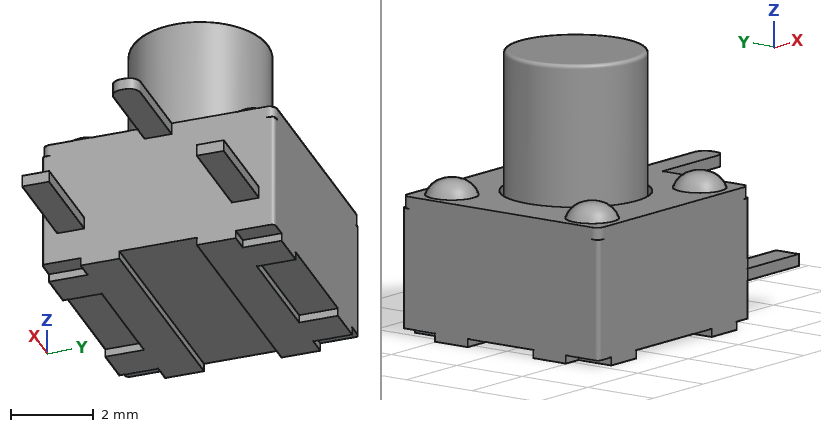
import cadquery as cq


overall_length = 8.5

body_side = 6.0
body_top = 3.49
body_corner_radius = 0.1
foot_height = 0.2
half_side = body_side / 2

plate_thickness = 0.3
plate_corner_radius = 0.2
button_hole_radius = 1.85
plate_bottom = body_top - plate_thickness

button_radius = 1.75
button_top = 7.0
button_edge_fillet = 0.1

rivet_offset = 2.14
rivet_radius = 0.655
rivet_flat_radius = 0.085
rivet_height = 0.4

foot_width = 1.0
rail_center_y = body_side / 4
side_foot_center_x = 2.0
side_foot_length = half_side - rail_center_y

pin_width = 0.7
pin_thickness = plate_thickness
pin_length = overall_length - body_side
pin_spacing = 2.25
pin_bottom = 1.0
pin_overlap = 0.17
ground_pin_corner_radius = 0.3


def block(size_x, size_y, bottom, height, center=(0, 0)):
    """Upright block centred on the given XY point."""
    return (
        cq.Workplane("XY", origin=(center[0], center[1], bottom))
        .rect(size_x, size_y)
        .extrude(height)
    )


def cylinder(radius, bottom, height):
    """Upright cylinder on the button axis."""
    return cq.Workplane("XY", origin=(0, 0, bottom)).circle(radius).extrude(height)


def pin(center_y, bottom):
    """Flat terminal leaving the +X wall, with its root inside the housing."""
    length = pin_length + pin_overlap
    center_x = half_side - pin_overlap + length / 2
    return block(length, pin_width, bottom, pin_thickness, (center_x, center_y))


def housing():
    body = block(body_side, body_side, foot_height, plate_bottom - foot_height)
    return body.edges("|Z").fillet(body_corner_radius)


def feet():
    """Two rails along X, each with two feet reaching out to the nearer Y wall."""
    rail = (body_side, foot_width, 0, foot_height)
    side_foot = (foot_width, side_foot_length, 0, foot_height)
    shape = cq.Workplane("XY")
    for side_y in (-1, 1):
        shape = shape.add(block(*rail, (0, side_y * rail_center_y)))
        side_foot_y = side_y * (half_side - side_foot_length / 2)
        for side_x in (-1, 1):
            center = (side_x * side_foot_center_x, side_foot_y)
            shape = shape.add(block(*side_foot, center))
    return shape.combine()


def cover_plate():
    plate = block(body_side, body_side, plate_bottom, plate_thickness)
    plate = plate.edges("|Z").fillet(plate_corner_radius)
    ground_pin = pin(0, plate_bottom).edges("|Z and >X").fillet(ground_pin_corner_radius)
    hole = cylinder(button_hole_radius, plate_bottom, plate_thickness)
    return plate.union(ground_pin).cut(hole)


def button():
    stem = cylinder(button_radius, plate_bottom, button_top - plate_bottom)
    return stem.faces(">Z").edges().fillet(button_edge_fillet)


def rivet(center_x, center_y):
    """Domed head: an arc running from a small flat top down to the plate."""
    dome_reach = rivet_radius - rivet_flat_radius
    dome_radius = (dome_reach**2 + rivet_height**2) / (2 * rivet_height)
    return (
        cq.Workplane("XZ", origin=(center_x, center_y, body_top))
        .lineTo(rivet_radius, 0)
        .radiusArc((rivet_flat_radius, rivet_height), -dome_radius)
        .lineTo(0, rivet_height)
        .close()
        .revolve(360, (0, 0, 0), (0, 1, 0))
    )


result = housing().union(feet()).union(cover_plate()).union(button())

for rivet_x in (-rivet_offset, rivet_offset):
    for rivet_y in (-rivet_offset, rivet_offset):
        result = result.union(rivet(rivet_x, rivet_y))

for pin_y in (-pin_spacing, pin_spacing):
    result = result.union(pin(pin_y, pin_bottom))